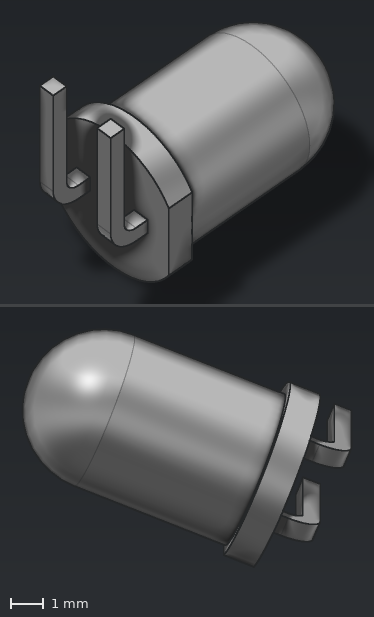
import cadquery as cq
import math

lens_radius = 2.5
flange_radius = 2.9
flange_thickness = 1.0
body_length = 8.5
flat_offset = lens_radius

lead_pitch = 2.54
lead_width = 0.6
lead_thickness = 0.58
lead_stub_length = 0.5
lead_upright_length = 4.2
bend_inner_radius = 0.5
bend_outer_radius = bend_inner_radius + lead_thickness


def make_led_body():
    """Domed lens and flange with its polarity flat, as one solid."""
    dome_start = body_length - lens_radius
    dome_middle = lens_radius * math.cos(math.pi / 4)
    profile = (
        cq.Workplane("XY")
        .lineTo(flange_radius, 0)
        .lineTo(flange_radius, flange_thickness)
        .lineTo(lens_radius, flange_thickness)
        .lineTo(lens_radius, dome_start)
        .threePointArc((dome_middle, dome_start + dome_middle), (0, body_length))
        .close()
    )
    body = profile.revolve(360, (0, 0, 0), (0, 1, 0))
    flat_cutter = cq.Workplane("XY").box(
        flange_radius, flange_thickness, 2 * flange_radius, centered=(False, False, True)
    )
    return body.cut(flat_cutter.translate((flat_offset, 0, 0)))


def make_lead(x_center):
    """Lead that leaves the flange's back face along -Y and turns up to +Z."""
    bend_y = -lead_stub_length
    bend_z = bend_inner_radius + lead_thickness / 2
    lead_top = bend_z + lead_upright_length
    outer_middle = bend_outer_radius * math.cos(math.pi / 4)
    inner_middle = bend_inner_radius * math.cos(math.pi / 4)
    return (
        cq.Workplane("YZ", origin=(x_center, 0, 0))
        .moveTo(0, -lead_thickness / 2)
        .lineTo(bend_y, -lead_thickness / 2)
        .threePointArc(
            (bend_y - outer_middle, bend_z - outer_middle),
            (bend_y - bend_outer_radius, bend_z),
        )
        .lineTo(bend_y - bend_outer_radius, lead_top)
        .lineTo(bend_y - bend_inner_radius, lead_top)
        .lineTo(bend_y - bend_inner_radius, bend_z)
        .threePointArc(
            (bend_y - inner_middle, bend_z - inner_middle),
            (bend_y, lead_thickness / 2),
        )
        .lineTo(0, lead_thickness / 2)
        .close()
        .extrude(lead_width / 2, both=True)
    )


led_body = make_led_body()
leads = [make_lead(side * lead_pitch / 2) for side in (-1, 1)]

result = cq.Compound.makeCompound([led_body.val(), *[lead.val() for lead in leads]])